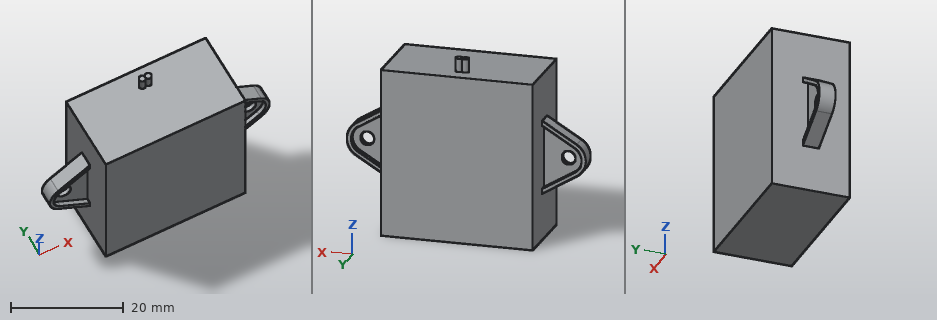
import cadquery as cq
import math

overall_length = 44.2
overall_height = 33.5

body_length = 28.05
body_depth = 14.85
body_height = 31.05

ear_thickness = 3.05
ear_tip_radius = 3.5
ear_flare_angle = math.radians(31)
ear_hole_diameter = 2.5
ear_rim_width = 0.8
ear_pocket_depth = 1.0
ear_center_x = overall_length / 2 - ear_tip_radius
ear_center_z = body_height / 2
ear_root_x = body_length / 2

pin_diameter = 1.25
pin_spacing = 1.2
pin_y = 3.95
pin_height = overall_height - body_height


def ear_profile(tip_radius, thickness):
    """Ear plate on the +X side, centred on Y = 0, with the given tip radius."""
    tangent_x = ear_center_x + tip_radius * math.sin(ear_flare_angle)
    tangent_z = tip_radius * math.cos(ear_flare_angle)
    root_z = tangent_z + (tangent_x - ear_root_x) * math.tan(ear_flare_angle)
    return (
        cq.Workplane("XZ", origin=(0, 0, ear_center_z))
        .moveTo(ear_root_x, -root_z)
        .lineTo(tangent_x, -tangent_z)
        .threePointArc((ear_center_x + tip_radius, 0), (tangent_x, tangent_z))
        .lineTo(ear_root_x, root_z)
        .close()
        .extrude(thickness / 2, both=True)
    )


def make_ear():
    """Drilled ear with a pocket in each face, leaving a thin web; the pockets open towards the body."""
    inner_radius = ear_tip_radius - ear_rim_width
    web_thickness = ear_thickness - 2 * ear_pocket_depth
    ear = ear_profile(ear_tip_radius, ear_thickness)
    rim = ear.cut(ear_profile(inner_radius, ear_thickness))
    web = ear_profile(inner_radius, web_thickness)
    hole = (
        cq.Workplane("XZ", origin=(0, 0, ear_center_z))
        .center(ear_center_x, 0)
        .circle(ear_hole_diameter / 2)
        .extrude(ear_thickness, both=True)
    )
    return rim.union(web).cut(hole)


body = cq.Workplane("XY").box(body_length, body_depth, body_height, centered=(True, True, False))

right_ear = make_ear()
left_ear = right_ear.mirror("YZ")

result = body.union(right_ear).union(left_ear)

for pin_x in (-pin_spacing / 2, pin_spacing / 2):
    pin = (
        cq.Workplane("XY", origin=(pin_x, pin_y, body_height))
        .circle(pin_diameter / 2)
        .extrude(pin_height)
    )
    result = result.union(pin)